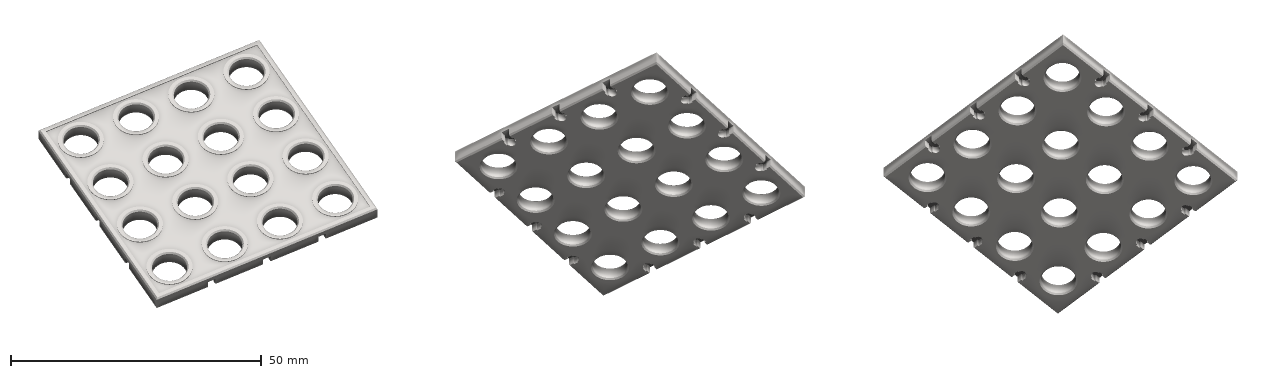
import cadquery as cq

plate_side = 50.0
plate_height = 3.12
edge_chamfer = 0.3

recess_depth = 0.2
rim_width = 1.1

holes_per_side = 4
hole_pitch = plate_side / holes_per_side
hole_diameter = 7.0
hole_chamfer = 0.3
collar_diameter = 9.2

notch_width = 1.8
notch_height = 1.8
lip_thickness = 1.1
cross_slot_width = 1.0
cross_slot_length = 2.4
notch_depth = lip_thickness + cross_slot_width + notch_width / 2


def centred_positions(count, pitch):
    """Evenly spaced coordinates, symmetric about zero."""
    return [(index - (count - 1) / 2) * pitch for index in range(count)]


hole_coordinates = centred_positions(holes_per_side, hole_pitch)
hole_centres = [(x, y) for x in hole_coordinates for y in hole_coordinates]


def make_plate():
    """Square plate chamfered along the top and bottom edges."""
    plate = cq.Workplane("XY").box(plate_side, plate_side, plate_height, centered=(True, True, False))
    return plate.faces("<Z or >Z").edges().chamfer(edge_chamfer)


def make_top_recess():
    """Material removed from the top face between the rim and the collars."""
    recess_side = plate_side - 2 * rim_width
    floor = cq.Workplane("XY").workplane(offset=plate_height - recess_depth)
    recess = floor.rect(recess_side, recess_side).extrude(recess_depth)
    collars = floor.pushPoints(hole_centres).circle(collar_diameter / 2).extrude(recess_depth)
    return recess.cut(collars)


def make_holes():
    """Through holes with both mouths chamfered."""
    radius = hole_diameter / 2
    profile = [
        (0, 0),
        (radius + hole_chamfer, 0),
        (radius, hole_chamfer),
        (radius, plate_height - hole_chamfer),
        (radius + hole_chamfer, plate_height),
        (0, plate_height),
    ]
    hole = cq.Workplane("XZ").polyline(profile).close().revolve(360, (0, 0), (0, 1))
    return cq.Workplane("XY").pushPoints(hole_centres).eachpoint(hole.val(), combine=False)


def make_notch():
    """Cutter for one notch, placed on the -Y side at X = 0."""
    side_y = -plate_side / 2
    slot = cq.Workplane("XY").center(0, side_y).slot2D(2 * notch_depth, notch_width, 90).extrude(notch_height)
    cross_y = side_y + lip_thickness + cross_slot_width / 2
    cross_slot = cq.Workplane("XY").center(0, cross_y).rect(cross_slot_length, cross_slot_width)
    return slot.union(cross_slot.extrude(notch_height))


def make_notches():
    """The notches of all four sides, cut up from the bottom face."""
    notch = make_notch()
    notches = cq.Workplane("XY")
    for side_angle in (0, 90, 180, 270):
        for along in centred_positions(holes_per_side - 1, hole_pitch):
            placed = notch.translate((along, 0, 0)).rotate((0, 0, 0), (0, 0, 1), side_angle)
            notches = notches.add(placed)
    return notches


result = make_plate().cut(make_top_recess())
for cutter in make_holes().vals() + make_notches().vals():
    result = result.cut(cq.Workplane(cutter))